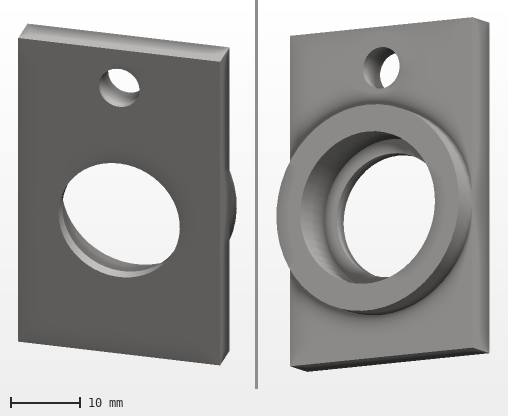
import cadquery as cq

plate_width = 30.0
plate_height = 48.15
plate_thickness = 5.0

boss_diameter = plate_width
boss_length = 4.0

bore_diameter = 18.0
bore_height = 21.15
lip_thickness = 2.0
counterbore_diameter = 22.15
small_hole_diameter = 6.0
small_hole_height = plate_height - small_hole_diameter

total_depth = plate_thickness + boss_length


def cylinder_along_y(diameter, start_y, length, height):
    """Cylinder centred on X = 0 at the given height, running toward +Y."""
    return cq.Workplane(
        cq.Solid.makeCylinder(
            diameter / 2, length, cq.Vector(0, start_y, height), cq.Vector(0, 1, 0)
        )
    )


plate = cq.Workplane("XY").box(
    plate_width, plate_thickness, plate_height, centered=(True, False, False)
)
boss = cylinder_along_y(boss_diameter, plate_thickness, boss_length, bore_height)
bore = cylinder_along_y(bore_diameter, 0, lip_thickness, bore_height)
counterbore = cylinder_along_y(
    counterbore_diameter, lip_thickness, total_depth - lip_thickness, bore_height
)
small_hole = cylinder_along_y(small_hole_diameter, 0, plate_thickness, small_hole_height)

result = plate.union(boss).cut(bore).cut(counterbore).cut(small_hole)